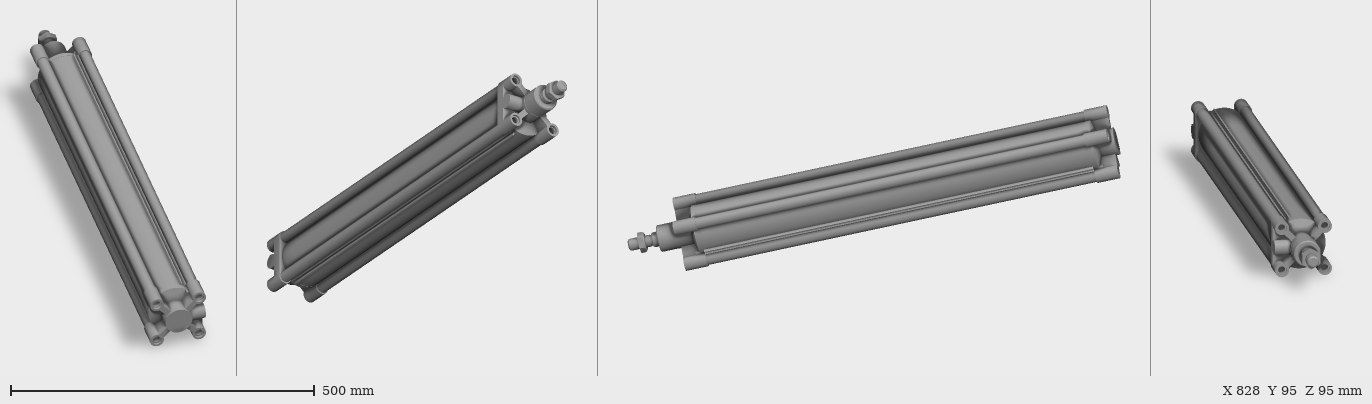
import cadquery as cq
import math

total_length = 828.0
square_side = 95.0
boss_diameter = 23.0
corner_offset = (square_side - boss_diameter) / 2
corners = [(y * corner_offset, z * corner_offset) for y in (-1, 1) for z in (-1, 1)]

thread_diameter = 20.0
thread_length = 37.0
tip_chamfer = 2.5
relief_diameter = 18.0
rod_start_x = 40.5
rod_diameter = 25.0
rod_chamfer = 2.0
flat_start_x = 43.0
flat_length = 6.0
across_flats = 21.5

nut_start_x = 18.0
nut_thickness = 11.0
nut_across_flats = 30.0
nut_chamfer_diameter = 28.0

gland_start_x = 51.0
gland_diameter = 45.0
gland_chamfer = 2.0
collar_diameter = 45.5
collar_start_x = 81.0
front_boss_start_x = 86.0
rear_boss_end_x = 823.0
boss_length = 38.0
flange_diameter = 85.0
rim_length = 8.0
cone_length = 7.5
web_thickness = 10.0
plate_start_y = 21.0
port_boss_diameter = 25.0
port_axis_depth = 13.0
corner_recess_diameter = 16.0
corner_recess_depth = 4.0
corner_hole_diameter = 12.0
corner_hole_depth = 16.5

barrel_start_x = front_boss_start_x + boss_length
barrel_end_x = rear_boss_end_x - boss_length
tube_diameter = 84.5
tie_rod_diameter = 19.0
lip_angles = (21, 30)
lip_thickness = 2.5
lip_tip_radius = 47.0
lip_height = 8.0


def cylinder_x(diameter, start_x, end_x, y=0.0, z=0.0):
    """Cylinder parallel to X between two positions along X."""
    return cq.Workplane("YZ", origin=(start_x, y, z)).circle(diameter / 2).extrude(end_x - start_x)


def revolve_x(profile):
    """Solid of revolution about X from (x, radius) points."""
    return cq.Workplane("XY").polyline(profile).close().revolve(360, (0, 0, 0), (1, 0, 0))


def make_piston_rod():
    """Threaded tip, relief groove and rod with two wrench flats, ending at the gland face."""
    thread_radius = thread_diameter / 2
    relief_radius = relief_diameter / 2
    rod_radius = rod_diameter / 2
    rod = revolve_x([
        (0, 0),
        (0, thread_radius - tip_chamfer),
        (tip_chamfer, thread_radius),
        (thread_length, thread_radius),
        (thread_length, relief_radius),
        (rod_start_x, relief_radius),
        (rod_start_x, rod_radius - rod_chamfer),
        (rod_start_x + rod_chamfer, rod_radius),
        (gland_start_x, rod_radius),
        (gland_start_x, 0),
    ])
    flat_cutter = cq.Workplane("XY").box(flat_length, rod_diameter, rod_diameter)
    for side in (-1, 1):
        cutter_y = side * (across_flats + rod_diameter) / 2
        rod = rod.cut(flat_cutter.translate((flat_start_x + flat_length / 2, cutter_y, 0)))
    return rod


def make_nut():
    """Hexagon nut with flats facing -Y and +Y and its corners chamfered at 45 degrees on the rod side."""
    nut_end_x = nut_start_x + nut_thickness
    chamfer_radius = nut_chamfer_diameter / 2
    across_corners = nut_across_flats / math.cos(math.pi / 6)
    hexagon = cq.Workplane("YZ", origin=(nut_start_x, 0, 0)).polygon(6, across_corners).extrude(nut_thickness)
    hexagon = hexagon.rotate((0, 0, 0), (1, 0, 0), 90)
    chamfer_cone = revolve_x([
        (nut_start_x, 0),
        (nut_start_x, chamfer_radius + nut_thickness),
        (nut_end_x, chamfer_radius),
        (nut_end_x, 0),
    ])
    return hexagon.intersect(chamfer_cone).cut(cylinder_x(thread_diameter, nut_start_x, nut_end_x))


def make_webs(middle_x):
    """Two crossed diagonal webs that join opposite corner bosses."""
    diagonal = 2 * corner_offset * math.sqrt(2)
    web = cq.Workplane("XY", origin=(middle_x, 0, 0)).box(boss_length, diagonal, web_thickness)
    rising = web.rotate((0, 0, 0), (1, 0, 0), 45)
    falling = web.rotate((0, 0, 0), (1, 0, 0), -45)
    return rising.union(falling)


def make_head(barrel_x, outward, nose_profile):
    """Head on the barrel end at barrel_x; outward is the X direction (-1 or 1) of its free end.

    nose_profile lists the (x, radius) points beyond the collar, down to the axis.
    """
    rim_x = barrel_x + outward * rim_length
    cone_x = rim_x + outward * cone_length
    free_x = barrel_x + outward * boss_length
    head = revolve_x([
        (barrel_x, 0),
        (barrel_x, flange_diameter / 2),
        (rim_x, flange_diameter / 2),
        (cone_x, collar_diameter / 2),
    ] + nose_profile)
    head = head.union(make_webs((barrel_x + free_x) / 2))

    plate = cq.Workplane("XY").box(rim_length + cone_length, square_side / 2 - plate_start_y, 2 * corner_offset)
    head = head.union(plate.translate(((barrel_x + cone_x) / 2, (square_side / 2 + plate_start_y) / 2, 0)))

    port_plane = cq.Workplane("XZ", origin=(free_x - outward * port_axis_depth, 0, 0))
    head = head.union(port_plane.circle(port_boss_diameter / 2).extrude(-square_side / 2))

    recess_x = free_x - outward * corner_recess_depth
    hole_x = free_x - outward * corner_hole_depth
    for y, z in corners:
        head = head.union(cylinder_x(boss_diameter, barrel_x, free_x, y, z))
    for y, z in corners:
        head = head.cut(cylinder_x(corner_recess_diameter, free_x, recess_x, y, z))
        head = head.cut(cylinder_x(corner_hole_diameter, free_x, hole_x, y, z))
    return head


def make_front_head():
    gland_radius = gland_diameter / 2
    return make_head(barrel_start_x, -1, [
        (collar_start_x, collar_diameter / 2),
        (collar_start_x, gland_radius),
        (gland_start_x + gland_chamfer, gland_radius),
        (gland_start_x, gland_radius - gland_chamfer),
        (gland_start_x, 0),
    ])


def make_rear_head():
    return make_head(barrel_end_x, 1, [
        (total_length, collar_diameter / 2),
        (total_length, 0),
    ])


def make_barrel():
    """Tube with four tie rods and, beside each +Y tie rod, two lips that form a channel."""
    barrel = cylinder_x(tube_diameter, barrel_start_x, barrel_end_x)
    for y, z in corners:
        barrel = barrel.union(cylinder_x(tie_rod_diameter, barrel_start_x, barrel_end_x, y, z))
    lip_center = ((barrel_start_x + barrel_end_x) / 2, 0, lip_tip_radius - lip_height / 2)
    lip = cq.Workplane("XY").box(barrel_end_x - barrel_start_x, lip_thickness, lip_height).translate(lip_center)
    for angle in lip_angles:
        upper_lip = lip.rotate((0, 0, 0), (1, 0, 0), -angle)
        barrel = barrel.union(upper_lip).union(upper_lip.mirror("XY"))
    return barrel


piston_rod = make_piston_rod()
nut = make_nut()
front_head = make_front_head()
rear_head = make_rear_head()
barrel = make_barrel()

result = cq.Compound.makeCompound([
    piston_rod.solids().val(),
    nut.solids().val(),
    front_head.solids().val(),
    rear_head.solids().val(),
    barrel.solids().val(),
])